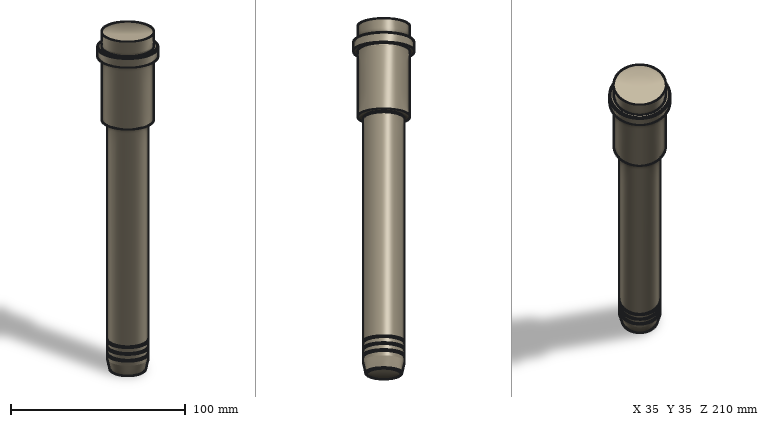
import cadquery as cq
import math

total_length = 210.0
head_diameter = 30.0
collar_diameter = 35.0
rod_diameter = 24.0

collar_top = 201.0
collar_height = 6.0
sleeve_bottom = 155.5

collar_chamfer = 0.6
rod_chamfer_drop = 1.3
rod_chamfer_depth = 1.0
relief_width = 1.3
relief_depth = 0.1

taper_height = 7.1
taper_angle = 12.5
tip_chamfer = 0.6
groove_width = 1.0
groove_depth = 0.2
groove_pitch = 4.2
lowest_groove_height = 10.5
groove_count = 3


def cylinder(diameter, bottom, top):
    """Solid cylinder on the Z axis between two heights."""
    return cq.Workplane("XY").workplane(offset=bottom).circle(diameter / 2).extrude(top - bottom)


def ring_cut(diameter, depth, bottom, width):
    """Ring that cuts a round-bottomed groove of the given depth into a cylinder."""
    radius = diameter / 2
    section = (
        cq.Workplane("XZ")
        .moveTo(radius, bottom)
        .threePointArc((radius - depth, bottom + width / 2), (radius, bottom + width))
        .lineTo(radius + depth, bottom + width)
        .lineTo(radius + depth, bottom)
        .close()
    )
    return section.revolve(360, (0, 0), (0, 1))


def make_rod():
    """Rod with a tapered tip and a chamfered upper shoulder."""
    radius = rod_diameter / 2
    tip_radius = radius - taper_height * math.tan(math.radians(taper_angle))
    outline = [
        (0, 0),
        (tip_radius, 0),
        (radius, taper_height),
        (radius, sleeve_bottom - rod_chamfer_drop),
        (radius - rod_chamfer_depth, sleeve_bottom),
        (0, sleeve_bottom),
    ]
    rod = cq.Workplane("XZ").polyline(outline).close().revolve(360, (0, 0), (0, 1))
    rod = rod.faces("<Z").edges().chamfer(tip_chamfer)
    for index in range(groove_count):
        bottom = lowest_groove_height + index * groove_pitch - groove_width / 2
        rod = rod.cut(ring_cut(rod_diameter, groove_depth, bottom, groove_width))
    return rod


def make_head():
    """Sleeve and collar with a shallow relief on each side of the collar."""
    collar_bottom = collar_top - collar_height
    head = cylinder(head_diameter, sleeve_bottom, total_length)
    for relief_bottom in (collar_top, collar_bottom - relief_width):
        head = head.cut(ring_cut(head_diameter, relief_depth, relief_bottom, relief_width))
    collar = cylinder(collar_diameter, collar_bottom, collar_top)
    return head.union(collar.faces(">Z").edges().chamfer(collar_chamfer))


result = make_rod().union(make_head())